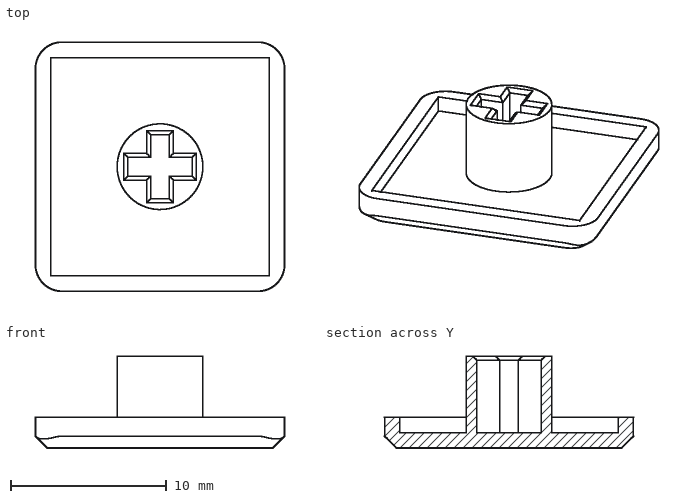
import cadquery as cq

side = 16.0
plate_height = 2.0
bottom_bevel = 0.77
corner_radius = 1.71

recess_side = 14.0
recess_depth = 1.0
floor_height = plate_height - recess_depth

total_height = 5.9
stem_diameter = 5.5

cross_length = 4.13
cross_width = 1.22
lead_in = 0.25


def rounded_block():
    """Square prism with rounded vertical corners."""
    block = cq.Workplane("XY").box(side, side, plate_height, centered=(True, True, False))
    return block.edges("|Z").fillet(corner_radius)


def rounded_taper():
    """Square frustum flaring upward at 45 degrees, with its slanted corners rounded."""
    bottom_side = side - 2 * bottom_bevel
    top_side = bottom_side + 2 * plate_height
    frustum = (
        cq.Workplane("XY")
        .rect(bottom_side, bottom_side)
        .workplane(offset=plate_height)
        .rect(top_side, top_side)
        .loft(ruled=True)
    )
    return frustum.edges("not(#Z)").fillet(corner_radius)


def cross_socket():
    """Cross-shaped pocket down to the plate floor, widened at 45 degrees at its mouth."""
    depth = total_height - floor_height
    base = cq.Workplane("XY").workplane(offset=floor_height)
    cross = base.rect(cross_length, cross_width).extrude(depth)
    cross = cross.union(base.rect(cross_width, cross_length).extrude(depth))

    mouth = cq.Workplane("XY").workplane(offset=total_height - lead_in)
    for length, width in ((cross_length, cross_width), (cross_width, cross_length)):
        flare = (
            mouth.rect(length, width)
            .workplane(offset=lead_in)
            .rect(length + 2 * lead_in, width + 2 * lead_in)
            .loft(ruled=True)
        )
        cross = cross.union(flare)
    return cross


plate = rounded_block().intersect(rounded_taper())
floor = cq.Workplane("XY").workplane(offset=floor_height)
recess = floor.rect(recess_side, recess_side).extrude(recess_depth)
stem = floor.circle(stem_diameter / 2).extrude(total_height - floor_height)

result = plate.cut(recess).union(stem).cut(cross_socket())